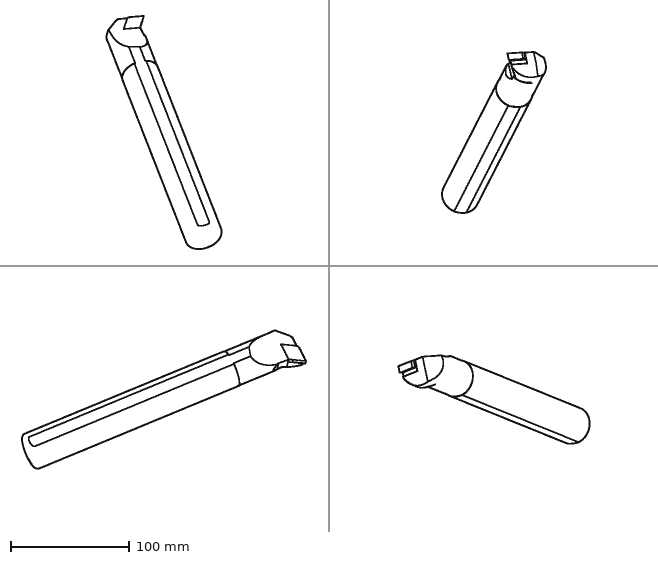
import cadquery as cq
import math

length = 250.0
overall_width = 37.2
overall_height = 33.2
shank_radius = 16.0
neck_radius = 15.7
neck_end = 60.0
flat_width = 10.5
flat_height = math.sqrt(shank_radius**2 - (flat_width / 2) ** 2)
end_round = 3.0
overlap = 0.2

head_radius = 18.0
head_centre_y = 2.2
head_bottom = flat_height - overall_height
head_centre_z = head_bottom + head_radius
head_straight_end = 12.2
head_end = 17.5

rake_angle = 12.0
rake_height = 5.0
reach = 50.0

gullet_x = 9.0
gullet_radius = 62.5

front_x = 1.5
nose_y = -3.2
bevel_x = 3.2
bevel_y = -6.0
corner_x = 13.7
corner_y = -16.5
nose_break = -5.0
relief_angle = 8.0

side_front_y = 19.0
side_y = 13.5
side_flat_end = 22.5
side_runout = 7.5
side_rise = 3.0

insert_width = 13.0
insert_edge = 14.7
tip_reach = overall_width - shank_radius
insert_tip_y = (tip_reach - rake_height * math.sin(math.radians(rake_angle))) / math.cos(
    math.radians(rake_angle)
)
insert_slope = math.tan(math.radians(30))
insert_thickness = 6.2
insert_nick_x = 0.7
insert_nick_y = 1.7
insert_drop = insert_width * insert_slope
recess_x = 2.0
recess_y = 4.5


def rake(shape):
    """Turn a shape from the rake frame into the bar's axes."""
    return shape.rotate((0, 0, 0), (1, 0, 0), -rake_angle)


def make_bar():
    shank = cq.Workplane("YZ").workplane(offset=neck_end).circle(shank_radius)
    shank = shank.extrude(length - neck_end).faces(">X").edges().fillet(end_round)
    between_flats = cq.Workplane("XY").box(2 * length, 2 * reach, 2 * flat_height)
    neck = cq.Workplane("YZ").workplane(offset=head_end).circle(neck_radius)
    neck = neck.extrude(neck_end + overlap - head_end)
    below_flat = cq.Workplane("XY").workplane(offset=flat_height).rect(2 * length, 2 * reach).extrude(-reach)
    return shank.intersect(between_flats).union(neck.intersect(below_flat))


def make_head():
    straight = cq.Workplane("YZ").center(head_centre_y, head_centre_z).circle(head_radius)
    straight = straight.extrude(head_straight_end)
    taper = (
        cq.Workplane("YZ").workplane(offset=head_straight_end)
        .center(head_centre_y, head_centre_z).circle(head_radius)
        .workplane(offset=head_end - head_straight_end)
        .center(-head_centre_y, -head_centre_z).circle(neck_radius)
        .loft(ruled=True)
    )
    return straight.union(taper)


def make_gullet():
    """Cylinder scooping the top of the head, with its axis along the tilted Y."""
    scoop = cq.Workplane("XZ").center(gullet_x, rake_height + gullet_radius).circle(gullet_radius)
    return rake(scoop.extrude(reach, both=True))


def make_side_clearance():
    outline = [
        (-overlap, side_front_y), (front_x, side_front_y), (insert_width, side_y),
        (side_flat_end, side_y), (side_flat_end + side_runout, side_y + side_rise),
        (side_flat_end + side_runout, reach), (-overlap, reach),
    ]
    cutter = cq.Workplane("XY").workplane(offset=-reach).polyline(outline).close()
    return rake(cutter.extrude(2 * reach))


def make_nose():
    """Volume behind the nose faces: front face, narrow bevel and slanting corner."""
    outline = [
        (front_x, reach), (front_x, nose_y), (bevel_x, bevel_y), (corner_x, corner_y),
        (corner_x + reach, corner_y - reach), (length + reach, corner_y - reach), (length + reach, reach),
    ]
    base = cq.Workplane("XY").workplane(offset=nose_break).polyline(outline).close()
    upper = base.extrude(reach)
    outline_below = cq.Workplane("XY").workplane(offset=nose_break).polyline(outline).close()
    lower = outline_below.extrude(-reach, taper=relief_angle)
    return rake(upper.union(lower))


def make_recess():
    """Shallow step in the front face around the insert."""
    step = cq.Workplane("XY").workplane(offset=nose_break)
    step = step.moveTo(-overlap, recess_y).lineTo(recess_x, recess_y)
    step = step.lineTo(recess_x, reach).lineTo(-overlap, reach).close()
    return rake(step.extrude(rake_height - nose_break))


def make_insert(height):
    """Insert outline raised from the seat; a tall one also clears the space above it."""
    inner_y = insert_tip_y - insert_edge
    outline = [
        (0, insert_tip_y), (0, inner_y + insert_nick_y),
        (insert_nick_x, inner_y - insert_nick_x * insert_slope),
        (insert_width, inner_y - insert_drop), (insert_width, insert_tip_y - insert_drop),
    ]
    plate = cq.Workplane("XY").workplane(offset=rake_height - insert_thickness)
    return rake(plate.polyline(outline).close().extrude(height))


insert = make_insert(insert_thickness)
insert_pocket = make_insert(reach)
holder = make_bar().union(make_head()).intersect(make_nose())
for cutter in (make_gullet(), make_side_clearance(), make_recess(), insert_pocket):
    holder = holder.cut(cutter)

result = cq.Compound.makeCompound([holder.solids().val(), insert.val()])